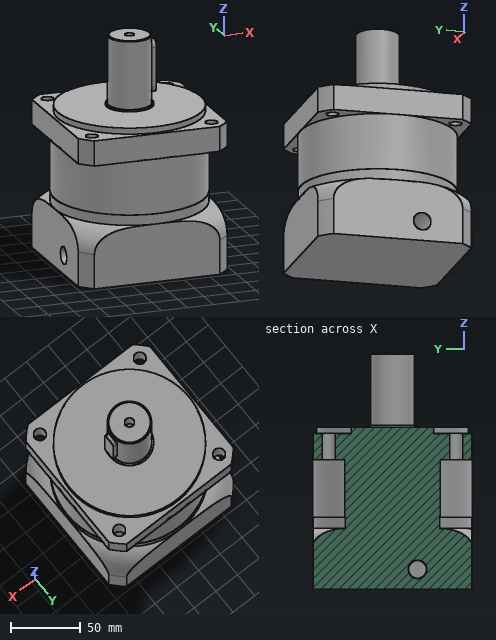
import cadquery as cq
import math

LOWER_CORNER_TOP = 26.6
LOWER_HOUSING_TOP = 52.0
BODY_TOP = 93.6
FLANGE_TOP = 112.7
PILOT_TOP = 117.3
COLLAR_TOP = 118.5
SHAFT_TOP = 170.5

SQUARE_SIDE = 115.0
CORNER_DIAMETER = 150.0
BODY_DIAMETER = 115.5
PILOT_DIAMETER = 110.0

SHAFT_DIAMETER = 32.0
CHAMFER_HEIGHT = 0.5
CHAMFER_WIDTH = 1.0
COLLAR_DIAMETER = 35.0
CENTER_HOLE_DIAMETER = 7.0
CENTER_HOLE_DEPTH = 16.0
DRILL_POINT_ANGLE = 118.0

KEY_WIDTH = 10.0
KEY_BOTTOM = 125.5
KEY_LENGTH = 40.0
KEY_OUTER_X = 19.0

MOUNTING_HOLE_DIAMETER = 9.0
MOUNTING_HOLE_SPACING = 92.0

ACCESS_HOLE_DIAMETER = 13.0
ACCESS_HOLE_Y = -18.0
ACCESS_HOLE_Z = 14.5
HUB_DIAMETER = 49.8


def disc(diameter, bottom, top):
    return cq.Workplane("XY").workplane(offset=bottom).circle(diameter / 2).extrude(top - bottom)


def square_block(bottom, top):
    return cq.Workplane("XY").workplane(offset=bottom).rect(SQUARE_SIDE, SQUARE_SIDE).extrude(top - bottom)


def make_lower_housing():
    """Square housing with turned corners that round inwards to a cylindrical neck."""
    neck_radius = SQUARE_SIDE / 2
    corner_radius = CORNER_DIAMETER / 2
    rounding = corner_radius - neck_radius
    arc_middle = (
        neck_radius + rounding * math.cos(math.pi / 4),
        LOWER_CORNER_TOP + rounding * math.sin(math.pi / 4),
    )
    turned = (
        cq.Workplane("XZ")
        .lineTo(corner_radius, 0)
        .lineTo(corner_radius, LOWER_CORNER_TOP)
        .threePointArc(arc_middle, (neck_radius, LOWER_CORNER_TOP + rounding))
        .lineTo(neck_radius, LOWER_HOUSING_TOP)
        .lineTo(0, LOWER_HOUSING_TOP)
        .close()
        .revolve(360, (0, 0, 0), (0, 1, 0))
    )
    return turned.intersect(square_block(0, LOWER_HOUSING_TOP))


def make_access_hole():
    """Cutter for the access hole, shaped so that its floor follows the hub."""
    drill = (
        cq.Workplane("YZ")
        .center(ACCESS_HOLE_Y, ACCESS_HOLE_Z)
        .circle(ACCESS_HOLE_DIAMETER / 2)
        .extrude(-SQUARE_SIDE / 2)
    )
    return drill.cut(disc(HUB_DIAMETER, 0, LOWER_HOUSING_TOP))


def make_flange():
    turned = disc(CORNER_DIAMETER, BODY_TOP, FLANGE_TOP)
    return turned.intersect(square_block(BODY_TOP, FLANGE_TOP))


def make_mounting_holes():
    return (
        cq.Workplane("XY")
        .workplane(offset=BODY_TOP)
        .rect(MOUNTING_HOLE_SPACING, MOUNTING_HOLE_SPACING, forConstruction=True)
        .vertices()
        .circle(MOUNTING_HOLE_DIAMETER / 2)
        .extrude(FLANGE_TOP - BODY_TOP)
    )


def make_shaft():
    """Round shaft with a shallow conical chamfer at its tip."""
    radius = SHAFT_DIAMETER / 2
    return (
        cq.Workplane("XZ")
        .moveTo(0, COLLAR_TOP)
        .lineTo(radius, COLLAR_TOP)
        .lineTo(radius, SHAFT_TOP - CHAMFER_HEIGHT)
        .lineTo(radius - CHAMFER_WIDTH, SHAFT_TOP)
        .lineTo(0, SHAFT_TOP)
        .close()
        .revolve(360, (0, 0, 0), (0, 1, 0))
    )


def make_center_hole():
    """Cutter for the blind hole in the shaft tip, with a drill-point floor."""
    radius = CENTER_HOLE_DIAMETER / 2
    floor = SHAFT_TOP - CENTER_HOLE_DEPTH
    point_depth = radius / math.tan(math.radians(DRILL_POINT_ANGLE / 2))
    return (
        cq.Workplane("XZ")
        .moveTo(0, SHAFT_TOP)
        .lineTo(radius, SHAFT_TOP)
        .lineTo(radius, floor)
        .lineTo(0, floor - point_depth)
        .close()
        .revolve(360, (0, 0, 0), (0, 1, 0))
    )


def make_key():
    return (
        cq.Workplane("YZ")
        .center(0, KEY_BOTTOM + KEY_LENGTH / 2)
        .slot2D(KEY_LENGTH, KEY_WIDTH, 90)
        .extrude(KEY_OUTER_X)
    )


result = (
    make_lower_housing()
    .cut(make_access_hole())
    .union(disc(BODY_DIAMETER, LOWER_HOUSING_TOP, BODY_TOP))
    .union(make_flange())
    .cut(make_mounting_holes())
    .union(disc(PILOT_DIAMETER, FLANGE_TOP, PILOT_TOP))
    .union(disc(COLLAR_DIAMETER, PILOT_TOP, COLLAR_TOP))
    .union(make_shaft())
    .union(make_key())
    .cut(make_center_hole())
)